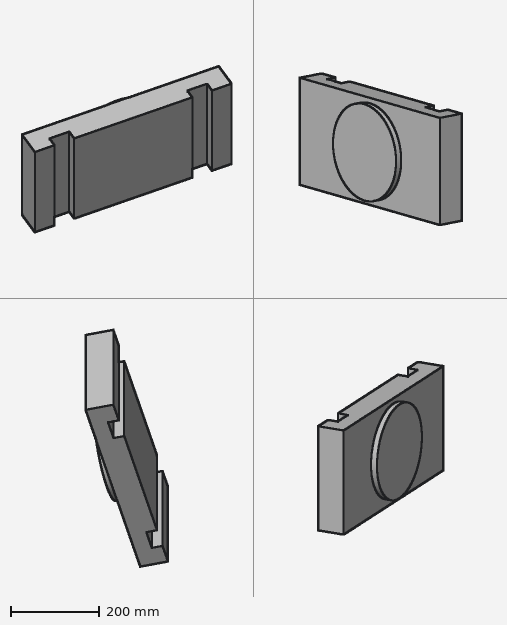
import cadquery as cq

plate_thickness = 65.0
plate_length = 500.0
plate_height = 250.0

pad_diameter = 225.0
pad_thickness = 15.0

slot_width = 50.0
slot_depth = 25.0
slot_end_margin = 50.0
slot_offset = plate_length / 2 - slot_end_margin - slot_width / 2


def make_plate():
    """Plate with its -X face on the YZ plane, centred in Y and Z."""
    return cq.Workplane("YZ").rect(plate_length, plate_height).extrude(plate_thickness)


def make_pad():
    """Disc standing out from the -X face of the plate."""
    return cq.Workplane("YZ").circle(pad_diameter / 2).extrude(-pad_thickness)


def make_slots():
    """Pair of slots running the full plate height."""
    return (
        cq.Workplane("YZ")
        .workplane(offset=plate_thickness - slot_depth)
        .pushPoints([(-slot_offset, 0), (slot_offset, 0)])
        .rect(slot_width, plate_height)
        .extrude(slot_depth)
    )


result = make_plate().union(make_pad()).cut(make_slots())